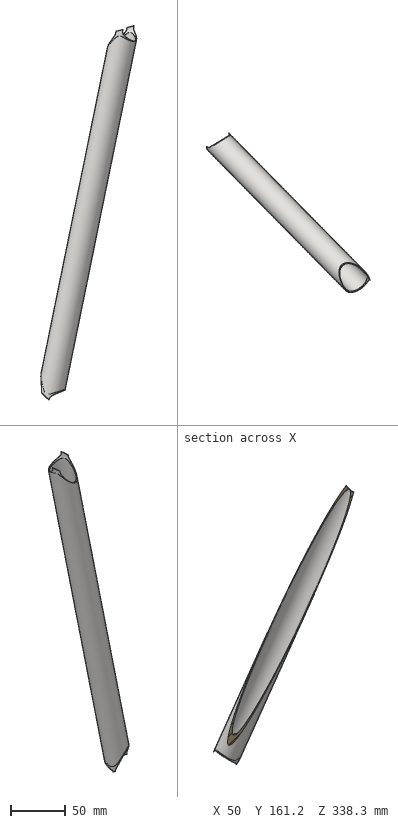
import cadquery as cq
import math

tube_diameter = 25.0
wall = 1.0

slope_x = 0.0835
slope_y = 0.4213
tip_distance = 355.3
seam_angle = -100.1

mate_diameter = 24.1
lower_swing = -8.9
lower_tilt = -27.7
lower_offset = 0.4
lower_setback = 0.1
upper_swing = -8.4
upper_tilt = 29.0
upper_offset = 0.0
upper_setback = 1.4

tube_radius = tube_diameter / 2
mate_radius = mate_diameter / 2
overrun = 2 * tube_diameter
cope_reach = 2 * overrun
cope_width = 4 * tube_diameter

tube_axis = cq.Vector(slope_x, slope_y, 1).normalized()
side_axis = (cq.Vector(1, 0, 0) - tube_axis * tube_axis.x).normalized()
back_axis = tube_axis.cross(side_axis)


def radial_direction(angle):
    """Unit vector square to the tube axis, at an angle from the side axis."""
    turn = math.radians(angle)
    return side_axis * math.cos(turn) + back_axis * math.sin(turn)


def round_bar(plane, radius, length):
    """Bar of two half shells, left unmerged so that seams run along the plane's X axis."""
    return (
        cq.Workplane(plane)
        .moveTo(radius, 0)
        .threePointArc((0, radius), (-radius, 0))
        .threePointArc((0, -radius), (radius, 0))
        .close()
        .extrude(length, clean=False)
    )


def make_tube():
    """Straight tube centred on the origin, running past both tips."""
    length = tip_distance + 2 * overrun
    plane = cq.Plane(
        origin=tube_axis * (-length / 2),
        xDir=radial_direction(seam_angle),
        normal=tube_axis,
    )
    outside = round_bar(plane, tube_radius, length)
    bore = round_bar(plane, tube_radius - wall, length)
    return outside.cut(bore, clean=False)


def make_cope(end, swing, tilt, offset, setback):
    """Cutter for one end (-1 lower, +1 upper): a round-bottomed slot along the mating tube,
    together with everything beyond the tip."""
    tip = tube_axis * (end * tip_distance / 2)
    lean = math.radians(tilt)
    mate_axis = radial_direction(swing) * math.cos(lean) + tube_axis * math.sin(lean)
    outward = (tube_axis - mate_axis * tube_axis.dot(mate_axis)) * end
    plane = cq.Plane(origin=tip, xDir=outward, normal=mate_axis)
    slot_top = offset + mate_radius
    slot_bottom = offset - mate_radius
    return (
        cq.Workplane(plane)
        .moveTo(cope_reach, cope_reach)
        .lineTo(0, cope_reach)
        .lineTo(0, slot_top)
        .lineTo(-setback, slot_top)
        .threePointArc((-setback - mate_radius, offset), (-setback, slot_bottom))
        .lineTo(0, slot_bottom)
        .lineTo(0, -cope_reach)
        .lineTo(cope_reach, -cope_reach)
        .close()
        .extrude(cope_width / 2, both=True)
    )


lower_cope = make_cope(-1, lower_swing, lower_tilt, lower_offset, lower_setback)
upper_cope = make_cope(1, upper_swing, upper_tilt, upper_offset, upper_setback)
coped_tube = make_tube().cut(lower_cope, clean=False).cut(upper_cope, clean=False)
result = cq.Workplane(coped_tube.solids().val())